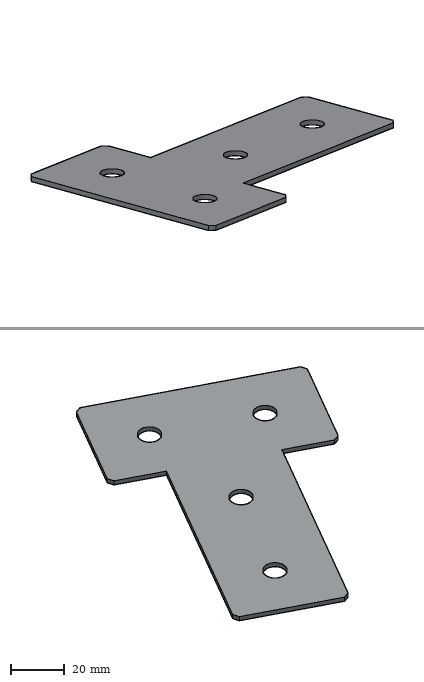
import cadquery as cq

length = 135.0
arm_width = length / 3
flange_width = 2 * arm_width
thickness = 2.0
hole_diameter = 9.0
corner_size = 2.0

hole_centres = [
    (-arm_width / 2, arm_width / 2),
    (arm_width / 2, arm_width / 2),
    (0, arm_width * 3 / 2),
    (0, arm_width * 5 / 2),
]


def bar(width, height):
    """Flat bar standing on the X axis, centred on X = 0."""
    return cq.Workplane("XY").box(width, height, thickness, centered=(True, False, False))


flange = bar(flange_width, arm_width)
flange = flange.edges("|Z").chamfer(corner_size)

stem = bar(arm_width, length)
stem = stem.edges("|Z and >Y").chamfer(corner_size)

plate = flange.union(stem)

holes = cq.Workplane("XY").pushPoints(hole_centres).circle(hole_diameter / 2).extrude(thickness)

result = plate.cut(holes)